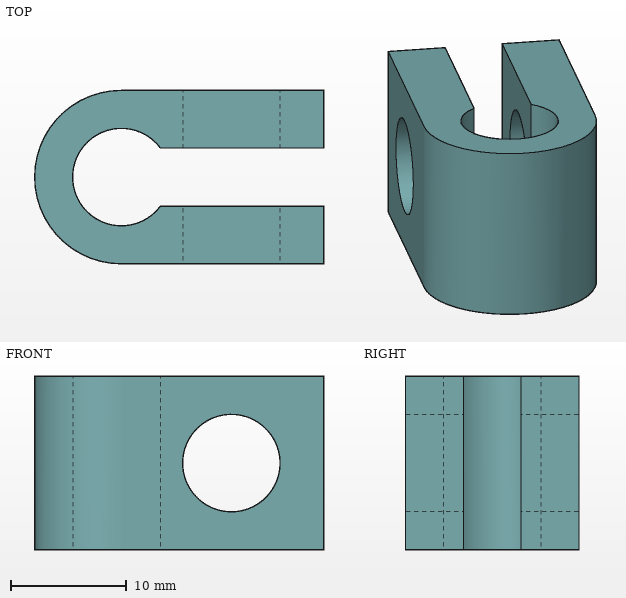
import cadquery as cq

length = 25.0
width = 15.0
height = 15.0
bore_diameter = 8.4
slot_width = 5.0
cross_hole_diameter = 8.4
cross_hole_from_round_end = 17.0

end_radius = width / 2
arm_end_x = length - end_radius
cross_hole_x = cross_hole_from_round_end - end_radius


def make_body():
    """Block with a full-round end, centred on the bore axis."""
    return (
        cq.Workplane("XY")
        .moveTo(0, -end_radius)
        .lineTo(arm_end_x, -end_radius)
        .lineTo(arm_end_x, end_radius)
        .lineTo(0, end_radius)
        .threePointArc((-end_radius, 0), (0, -end_radius))
        .close()
        .extrude(height)
    )


def make_bore():
    """Vertical bore through the rounded end."""
    return cq.Workplane("XY").circle(bore_diameter / 2).extrude(height)


def make_slot():
    """Slot from the bore to the open end, separating the two arms."""
    return cq.Workplane("XY").box(arm_end_x, slot_width, height, centered=(False, True, False))


def make_cross_hole():
    """Hole along Y through both arms."""
    return (
        cq.Workplane("XZ")
        .center(cross_hole_x, height / 2)
        .circle(cross_hole_diameter / 2)
        .extrude(width / 2, both=True)
    )


result = make_body().cut(make_bore()).cut(make_slot()).cut(make_cross_hole())